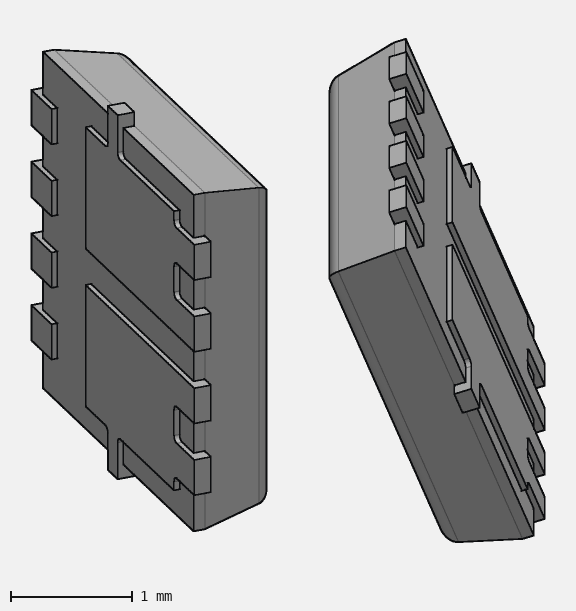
import cadquery as cq

OVERALL = 3.3
TOTAL_HEIGHT = 0.8
METAL_THICKNESS = 0.15
METAL_PROUD = 0.05

HOUSING_SIDE = 3.05
DRAFT_ANGLE = 10
BACK_FILLET = 0.15

LEAD_PITCH = 0.65
LEAD_WIDTH = 0.32
LEAD_LENGTH = 0.41
LEADS_PER_SIDE = 4

PAD_LEFT = -0.55
PAD_OUTER_EDGE = 1.265
TIE_BAR_WIDTH = 0.2
INNER_CORNER_FILLET = 0.05

metal_front = -TOTAL_HEIGHT / 2
metal_back = metal_front + METAL_THICKNESS
metal_middle = (metal_front + metal_back) / 2
housing_front = metal_front + METAL_PROUD
housing_back = TOTAL_HEIGHT / 2

tip = OVERALL / 2
lead_root = tip - LEAD_LENGTH
inner_lead_z = LEAD_PITCH / 2
outer_lead_z = inner_lead_z + LEAD_PITCH
half_lead = LEAD_WIDTH / 2
half_tie_bar = TIE_BAR_WIDTH / 2


def plane_facing_back(y):
    """Sketch plane at the given Y, with local x = X, local y = -Z and normal = +Y."""
    return cq.Workplane(cq.Plane(origin=(0, y, 0), xDir=(1, 0, 0), normal=(0, 1, 0)))


def make_lead(z):
    """Plain rectangular lead on the -X side, centred at height z."""
    lead = cq.Workplane("XY").box(LEAD_LENGTH, METAL_THICKNESS, LEAD_WIDTH)
    return lead.translate((LEAD_LENGTH / 2 - tip, metal_middle, z))


def make_upper_pad():
    """Pad above Z = 0, with two leads to +X and a tie bar to +Z."""
    pad_inner_edge = inner_lead_z - half_lead
    slot_bottom = inner_lead_z + half_lead
    slot_top = outer_lead_z - half_lead
    step = outer_lead_z + half_lead
    outline = [
        (PAD_LEFT, pad_inner_edge),
        (tip, pad_inner_edge),
        (tip, slot_bottom),
        (lead_root, slot_bottom),
        (lead_root, slot_top),
        (tip, slot_top),
        (tip, step),
        (lead_root, step),
        (lead_root, PAD_OUTER_EDGE),
        (half_tie_bar, PAD_OUTER_EDGE),
        (half_tie_bar, tip),
        (-half_tie_bar, tip),
        (-half_tie_bar, PAD_OUTER_EDGE),
        (PAD_LEFT, PAD_OUTER_EDGE),
    ]
    inner_corners = [
        (lead_root, slot_bottom),
        (lead_root, slot_top),
        (lead_root, step),
        (half_tie_bar, PAD_OUTER_EDGE),
        (-half_tie_bar, PAD_OUTER_EDGE),
    ]
    pad = (
        plane_facing_back(metal_front)
        .polyline([(x, -z) for x, z in outline])
        .close()
        .extrude(METAL_THICKNESS)
    )
    for x, z in inner_corners:
        corner_edge = cq.selectors.NearestToPointSelector((x, metal_middle, z))
        pad = pad.edges("|Y").edges(corner_edge).fillet(INNER_CORNER_FILLET)
    return pad


def make_housing(metal_parts):
    """Straight base band, tapered back with a rounded rim, recessed for the metal."""
    base = (
        plane_facing_back(housing_front)
        .rect(HOUSING_SIDE, HOUSING_SIDE)
        .extrude(metal_back - housing_front)
    )
    back = (
        plane_facing_back(metal_back)
        .rect(HOUSING_SIDE, HOUSING_SIDE)
        .extrude(housing_back - metal_back, taper=DRAFT_ANGLE)
        .faces(">Y")
        .edges()
        .fillet(BACK_FILLET)
    )
    body = base.union(back)
    for metal in metal_parts:
        body = body.cut(metal)
    return body


first_lead_z = -LEAD_PITCH * (LEADS_PER_SIDE - 1) / 2
leads = [make_lead(first_lead_z + i * LEAD_PITCH) for i in range(LEADS_PER_SIDE)]

upper_pad = make_upper_pad()
pads = [upper_pad, upper_pad.mirror("XY")]

housing = make_housing(leads + pads)

result = cq.Compound.makeCompound(
    [housing.val()] + [metal.val() for metal in leads + pads]
)